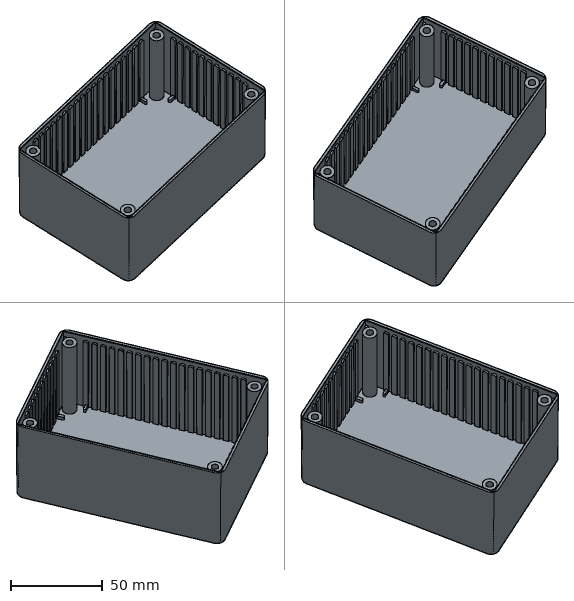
import cadquery as cq
import math

WIDTH = 80.2
LENGTH = 120.0
HEIGHT = 54.8
CORNER_RADIUS = 4.8
BASE_FILLET = 2.0
FLOOR = 2.0
RIM_WALL = 1.7
LIP_WALL = 1.5
LIP_DEPTH = 0.5
OUTER_INSET = 0.18
CAVITY_INSET = 0.4
CAVITY_DEPTH = HEIGHT - FLOOR

FLOOR_ROOT = FLOOR / 2
WALL_ROOT = RIM_WALL / 2

RIB_PITCH = 5.0
RIB_WIDTH = 3.1
RIB_FACE = 2.9
RIB_TOP = 51.6
RIB_ARCH_RISE = 1.0
END_WALL_RIBS = 11
SIDE_WALL_RIBS = 19

POST_X = 33.2
POST_Y = 53.2
POST_DIAMETER = 8.0
POST_TOP = 52.5
SCREW_HOLE_DIAMETER = 4.0

WEB_WIDTH = 1.5
WEB_ARCH_RISE = 0.7
WEB_LENGTH = 6.0

TAB_REACH = 6.7
TAB_HEIGHT = 2.2
END_TAB_X = 24.7
END_TAB_WIDTH = 1.7
SIDE_TAB_Y = 44.8
SIDE_TAB_WIDTH = 1.5
TAB_TIP_RADIUS = 0.6


def drafted_block(width, length, depth, inset):
    """Block hanging down from the rim plane, each wall leaning inwards by inset over the depth."""
    draft_angle = math.degrees(math.atan(inset / depth))
    return cq.Workplane("XY", origin=(0, 0, HEIGHT)).rect(width, length).extrude(-depth, taper=draft_angle)


def make_shell():
    """Open box with rounded outer edges, a square-cornered cavity and a shallow step inside the rim."""
    outer = drafted_block(WIDTH, LENGTH, HEIGHT, OUTER_INSET)
    outer = outer.edges("not #Z").fillet(CORNER_RADIUS)
    outer = outer.faces("<Z").edges().fillet(BASE_FILLET)
    cavity = drafted_block(WIDTH - 2 * RIM_WALL, LENGTH - 2 * RIM_WALL, CAVITY_DEPTH, CAVITY_INSET)
    lip_step = drafted_block(WIDTH - 2 * LIP_WALL, LENGTH - 2 * LIP_WALL, LIP_DEPTH, 0)
    return outer.cut(cavity).cut(lip_step)


def arched_bar(width, arch_rise, start_y, end_y):
    """Upright bar centred on X = 0 from start_y to end_y, with an arched top."""
    half_width = width / 2
    shoulder = RIB_TOP - arch_rise
    return (
        cq.Workplane("XZ", origin=(0, end_y, 0))
        .moveTo(-half_width, FLOOR_ROOT)
        .lineTo(half_width, FLOOR_ROOT)
        .lineTo(half_width, shoulder)
        .threePointArc((0, RIB_TOP), (-half_width, shoulder))
        .close()
        .extrude(end_y - start_y)
    )


def make_rib(wall_y):
    """Guide rib at the middle of the wall whose outside is at wall_y."""
    return arched_bar(RIB_WIDTH, RIB_ARCH_RISE, wall_y - RIB_FACE, wall_y - WALL_ROOT)


def make_tab(wall_y, width):
    """Support tab with a rounded tip, at the middle of the wall whose outside is at wall_y."""
    return (
        cq.Workplane("XY", origin=(0, wall_y - TAB_REACH, FLOOR_ROOT))
        .box(width, TAB_REACH - WALL_ROOT, FLOOR - FLOOR_ROOT + TAB_HEIGHT, centered=(True, False, False))
        .edges("|Z and <Y")
        .fillet(TAB_TIP_RADIUS)
    )


def turned(shape, angle):
    """Shape turned about the vertical centre axis of the box."""
    return shape.rotate((0, 0, 0), (0, 0, 1), angle)


def centred_row(count, pitch):
    """Positions of count items in a row centred on zero."""
    return [(i - (count - 1) / 2) * pitch for i in range(count)]


def wall_features():
    """Ribs and tabs of the +Y end wall and the -X side wall."""
    end_rib = make_rib(LENGTH / 2)
    side_rib = turned(make_rib(WIDTH / 2), 90)
    end_tab = make_tab(LENGTH / 2, END_TAB_WIDTH)
    side_tab = turned(make_tab(WIDTH / 2, SIDE_TAB_WIDTH), 90)
    features = [end_rib.translate((x, 0, 0)) for x in centred_row(END_WALL_RIBS, RIB_PITCH)]
    features += [side_rib.translate((0, y, 0)) for y in centred_row(SIDE_WALL_RIBS, RIB_PITCH)]
    features += [end_tab.translate((x, 0, 0)) for x in (-END_TAB_X, END_TAB_X)]
    features += [side_tab.translate((0, y, 0)) for y in (-SIDE_TAB_Y, SIDE_TAB_Y)]
    return features


def post_cylinders(diameter, bottom):
    """Four upright cylinders on the post axes, from bottom up to the post tops."""
    return (
        cq.Workplane("XY", origin=(0, 0, bottom))
        .rect(2 * POST_X, 2 * POST_Y, forConstruction=True)
        .vertices()
        .circle(diameter / 2)
        .extrude(POST_TOP - bottom)
    )


def make_webs():
    """One diagonal web per post, pointing at its cavity corner."""
    web = arched_bar(WEB_WIDTH, WEB_ARCH_RISE, 0, WEB_LENGTH)
    corners = [(1, 1, -45), (-1, 1, 45), (-1, -1, 135), (1, -1, -135)]
    return [turned(web, angle).translate((sx * POST_X, sy * POST_Y, 0)) for sx, sy, angle in corners]


def make_housing():
    """Shell with ribs, tabs, posts and webs, and blind screw holes down to the floor."""
    housing = make_shell()
    for feature in wall_features():
        housing = housing.union(feature).union(turned(feature, 180))
    housing = housing.union(post_cylinders(POST_DIAMETER, FLOOR_ROOT))
    for web in make_webs():
        housing = housing.union(web)
    return housing.cut(post_cylinders(SCREW_HOLE_DIAMETER, FLOOR))


housing = make_housing()
result = cq.Compound.makeCompound([housing.val()])